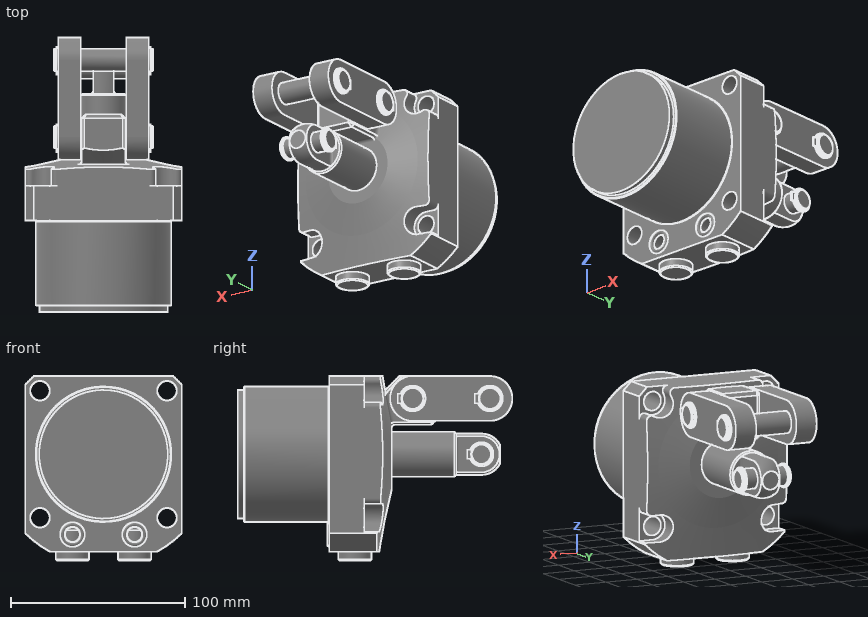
import cadquery as cq
import math


flange_half_width = 45.0
flange_bottom = -56.0
flange_corner_chamfer = 5.0
flange_lower_corner_radius = 64.0
crown_height = 36.0
crown_radius = 20.5
crease_height = 31.9
crease_radius = 38.7
rim_height = 27.5

cylinder_radius = 39.0
cylinder_length = 49.0
cylinder_chamfer = 0.5
neck_radius = 38.5
neck_length = 0.5
end_cap_radius = 37.0
housing_length = 52.5

bolt_offset = 36.5
bolt_hole_radius = 5.5
recess_floor = 20.0
recess_radius = 8.0
recess_fillet = 3.0

port_x = 17.8
port_z = -46.1
port_radius = 4.5
plug_y = 14.8
plug_radius = 9.6
plug_bottom = -61.1
plug_chamfer = 0.8
plug_shank_radius = 7.9
plug_shank_top = -43.5
seal_ring_radius = 5.7
seal_section_radius = 1.4
seal_center_y = 0.3

lug_half_width = 12.6
lug_bottom = 16.9
lug_end = 61.1
lug_edge_chamfer = 1.5
lug_end_chamfer = 2.4
lug_back_top = 40.4
lug_base_fillet = 1.9
selection_margin = 0.2

link_radius = 13.0
link_inner_x = 13.0
link_outer_x = 26.0
link_z = flange_half_width - link_radius
lug_pin_y = 48.0
lever_pin_y = 92.4
link_pin_radius = 6.5
link_pin_half_length = 28.5

rod_radius = 13.0
rod_end_radius = 12.0
rod_shoulder = 72.0
tongue_start = 73.0
tongue_half_width = 6.0
tongue_root_fillet = 1.4
rod_pin_y = 87.5
rod_pin_radius = 6.0
rod_pin_half_length = 15.8
rod_tip = 98.2

pin_chamfer = 0.5
ring_thickness = 1.0
ring_height = 1.0
ring_tab_reach = 2.2
ring_tab_half_width = 2.7
pin_end_length = link_pin_half_length - link_outer_x


def turned_about_y(profile):
    """Revolve a profile, drawn as (radius, Y), about the Y axis."""
    return profile.close().revolve(360, (0, 0, 0), (0, 1, 0))


def disc_along_y(radius, y_start, y_end, x=0.0, z=0.0):
    """Cylinder along Y between two heights."""
    return cq.Workplane("XZ", origin=(x, y_start, z)).circle(radius).extrude(y_start - y_end)


def disc_along_x(radius, x_start, x_end, y, z):
    """Cylinder along X between two positions."""
    return cq.Workplane("YZ", origin=(x_start, y, z)).circle(radius).extrude(x_end - x_start)


def make_flange():
    """Flange plate with chamfered upper and arc-shaped lower corners, below a two-slope dome."""
    w = flange_half_width
    c = flange_corner_chamfer
    r = flange_lower_corner_radius
    arc_top_z = -math.sqrt(r**2 - w**2)
    arc_bottom_x = math.sqrt(r**2 - flange_bottom**2)
    arc_middle = r / math.hypot(w + arc_bottom_x, arc_top_z + flange_bottom)
    middle_x = (w + arc_bottom_x) * arc_middle
    middle_z = (arc_top_z + flange_bottom) * arc_middle
    plate = (
        cq.Workplane("XZ")
        .moveTo(-w + c, w)
        .lineTo(w - c, w)
        .lineTo(w, w - c)
        .lineTo(w, arc_top_z)
        .threePointArc((middle_x, middle_z), (arc_bottom_x, flange_bottom))
        .lineTo(-arc_bottom_x, flange_bottom)
        .threePointArc((-middle_x, middle_z), (-w, arc_top_z))
        .lineTo(-w, w - c)
        .close()
        .extrude(-crown_height)
    )
    dome = turned_about_y(
        cq.Workplane("XY")
        .lineTo(flange_lower_corner_radius, 0)
        .lineTo(flange_lower_corner_radius, rim_height)
        .lineTo(crease_radius, crease_height)
        .lineTo(crown_radius, crown_height)
        .lineTo(0, crown_height)
    )
    return plate.intersect(dome)


def make_lug():
    """Chamfered block whose back is a 45 degree cone about the cylinder axis."""
    height = flange_half_width - lug_bottom
    block = (
        cq.Workplane("XZ", origin=(0, rim_height, (flange_half_width + lug_bottom) / 2))
        .rect(2 * lug_half_width, height)
        .extrude(rim_height - lug_end)
        .edges("|Y").chamfer(lug_edge_chamfer)
        .faces(">Y").chamfer(lug_end_chamfer)
    )
    cone_base = rim_height
    cone_base_radius = flange_half_width - (lug_back_top - cone_base)
    cone_rise = lug_end - cone_base
    back_cone = turned_about_y(
        cq.Workplane("XY")
        .moveTo(0, cone_base)
        .lineTo(cone_base_radius, cone_base)
        .lineTo(cone_base_radius + cone_rise, lug_end)
        .lineTo(0, lug_end)
    )
    return block.intersect(back_cone)


def make_cylinder():
    """Cylinder below the flange with a narrow neck, a chamfered end and a smaller end cap."""
    return turned_about_y(
        cq.Workplane("XY")
        .lineTo(neck_radius, 0)
        .lineTo(neck_radius, -neck_length)
        .lineTo(cylinder_radius, -neck_length)
        .lineTo(cylinder_radius, cylinder_chamfer - cylinder_length)
        .lineTo(cylinder_radius - cylinder_chamfer, -cylinder_length)
        .lineTo(end_cap_radius, -cylinder_length)
        .lineTo(end_cap_radius, -housing_length)
        .lineTo(0, -housing_length)
    )


def recess_blank(sketch):
    """Extrude a recess outline from the recess floor past the top of the dome."""
    return sketch.close().extrude(recess_floor - crown_height)


def upper_recess():
    """Bolt recess open to the upper right corner, with rounded lips on both sides."""
    w = flange_half_width
    b = bolt_offset
    lip_center = w - recess_fillet
    center_distance = recess_radius + recess_fillet
    across = lip_center - b
    lip_end = b - math.sqrt(center_distance**2 - across**2)
    tangent_far = b + across * recess_radius / center_distance
    tangent_near = b + (lip_end - b) * recess_radius / center_distance
    lip_bisector = math.atan2(b - lip_end, b - lip_center) / 2
    lip_middle = (
        lip_center + recess_fillet * math.cos(lip_bisector),
        lip_end + recess_fillet * math.sin(lip_bisector),
    )
    pocket_middle = b - recess_radius / math.sqrt(2)
    return recess_blank(
        cq.Workplane("XZ", origin=(0, recess_floor, 0))
        .moveTo(w, lip_end)
        .threePointArc(lip_middle, (tangent_far, tangent_near))
        .threePointArc((pocket_middle, pocket_middle), (tangent_near, tangent_far))
        .threePointArc((lip_middle[1], lip_middle[0]), (lip_end, w))
        .lineTo(w, w)
    )


def lower_recess():
    """Bolt recess open to the right side, with a rounded lip along its upper wall."""
    w = flange_half_width
    b = bolt_offset
    upper_wall = recess_radius - b
    lower_wall = -recess_radius - b
    lip_offset = recess_fillet * (1 - 1 / math.sqrt(2))
    return recess_blank(
        cq.Workplane("XZ", origin=(0, recess_floor, 0))
        .moveTo(w, upper_wall + recess_fillet)
        .threePointArc((w - lip_offset, upper_wall + lip_offset), (w - recess_fillet, upper_wall))
        .lineTo(b, upper_wall)
        .threePointArc((b - recess_radius, -b), (b, lower_wall))
        .lineTo(w, lower_wall)
    )


def make_plug(x):
    """Port plug: a chamfered head below the flange and a shank inside it."""
    head = (
        cq.Workplane("XY", origin=(x, plug_y, plug_bottom))
        .circle(plug_radius)
        .extrude(flange_bottom - plug_bottom)
        .faces("<Z").chamfer(plug_chamfer)
    )
    shank = (
        cq.Workplane("XY", origin=(x, plug_y, flange_bottom))
        .circle(plug_shank_radius)
        .extrude(plug_shank_top - flange_bottom)
    )
    return head.union(shank)


def make_seal(x):
    """Sealing ring standing slightly proud of the mounting face."""
    ring = cq.Solid.makeTorus(
        seal_ring_radius, seal_section_radius, cq.Vector(x, seal_center_y, port_z), cq.Vector(0, 1, 0)
    )
    return cq.Workplane(obj=ring)


def make_housing():
    """Flange, lug, cylinder, plugs and seals in one solid, with its recesses and holes."""
    body = make_flange().union(make_lug())
    base_zone = cq.selectors.BoxSelector(
        (-lug_half_width - selection_margin, rim_height, lug_bottom - selection_margin),
        (lug_half_width + selection_margin, crown_height + selection_margin, link_z),
    )
    body = body.edges(base_zone).fillet(lug_base_fillet)
    body = body.union(make_cylinder())
    for mirrored in (False, True):
        for recess in (upper_recess(), lower_recess()):
            body = body.cut(recess.mirror("YZ") if mirrored else recess)
    for x in (-bolt_offset, bolt_offset):
        for z in (-bolt_offset, bolt_offset):
            body = body.cut(disc_along_y(bolt_hole_radius, 0, crown_height, x, z))
    for x in (-port_x, port_x):
        body = body.cut(disc_along_y(port_radius, 0, plug_y, x, port_z))
        body = body.union(make_plug(x)).union(make_seal(x))
    body = body.cut(disc_along_y(rod_radius, 0, crown_height))
    return body.cut(disc_along_x(link_pin_radius, -lug_half_width, lug_half_width, lug_pin_y, link_z))


def make_pin(radius, half_length, y, z):
    """Pin along X with chamfered ends and a tabbed retaining ring near each end."""
    pin = disc_along_x(radius, -half_length, half_length, y, z).faces("<X or >X").chamfer(pin_chamfer)
    ring_inner_x = half_length - pin_end_length
    ring_radius = radius + ring_height
    tab_length = radius + ring_tab_reach
    for x in (ring_inner_x, -ring_inner_x - ring_thickness):
        ring = disc_along_x(ring_radius, x, x + ring_thickness, y, z)
        tab = (
            cq.Workplane("XY")
            .box(ring_thickness, tab_length, 2 * ring_tab_half_width, centered=(False, False, True))
            .translate((x, y - tab_length, z))
        )
        pin = pin.union(ring).union(tab)
    return pin


def make_link_frame():
    """Two parallel links joined by the lug pin and the lever pin."""
    length = lever_pin_y - lug_pin_y
    frame = make_pin(link_pin_radius, link_pin_half_length, lug_pin_y, link_z)
    frame = frame.union(make_pin(link_pin_radius, link_pin_half_length, lever_pin_y, link_z))
    for x in (link_inner_x, -link_outer_x):
        link = (
            cq.Workplane("YZ", origin=(x, (lug_pin_y + lever_pin_y) / 2, link_z))
            .slot2D(length + 2 * link_radius, 2 * link_radius)
            .extrude(link_outer_x - link_inner_x)
        )
        frame = frame.union(link)
    return frame


def make_rod():
    """Piston rod with a flat-sided tongue, a spherical end and a cross hole."""
    tip_radius = math.sqrt(rod_end_radius**2 - (rod_tip - rod_pin_y) ** 2)
    middle = rod_end_radius / math.sqrt(2)
    rod = turned_about_y(
        cq.Workplane("XY")
        .lineTo(rod_radius, 0)
        .lineTo(rod_radius, rod_shoulder)
        .lineTo(rod_end_radius, tongue_start)
        .lineTo(rod_end_radius, rod_pin_y)
        .threePointArc((middle, rod_pin_y + middle), (tip_radius, rod_tip))
        .lineTo(0, rod_tip)
    )
    root = tongue_half_width + tongue_root_fillet
    curve = tongue_root_fillet * (1 - 1 / math.sqrt(2))
    side_cut = (
        cq.Workplane("XY", origin=(0, 0, -rod_radius))
        .moveTo(rod_radius, tongue_start)
        .lineTo(root, tongue_start)
        .threePointArc(
            (tongue_half_width + curve, tongue_start + curve),
            (tongue_half_width, tongue_start + tongue_root_fillet),
        )
        .lineTo(tongue_half_width, rod_tip)
        .lineTo(rod_radius, rod_tip)
        .close()
        .extrude(2 * rod_radius)
    )
    rod = rod.cut(side_cut).cut(side_cut.mirror("YZ"))
    return rod.cut(disc_along_x(rod_pin_radius, -rod_radius, rod_radius, rod_pin_y, 0))


housing = make_housing()
rod = make_rod()
rod_pin = make_pin(rod_pin_radius, rod_pin_half_length, rod_pin_y, 0)
link_frame = make_link_frame()

result = cq.Compound.makeCompound([housing.val(), rod.val(), rod_pin.val(), link_frame.val()])